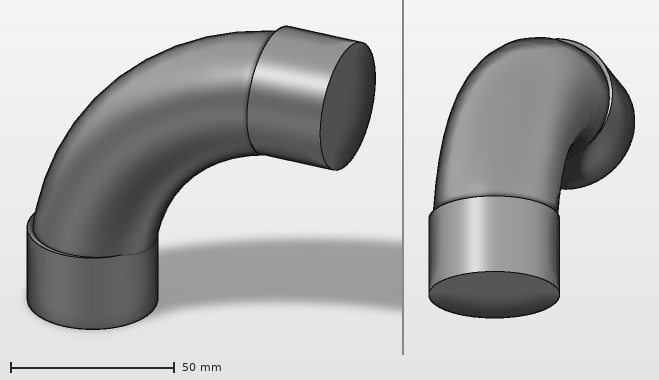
import cadquery as cq

overall_size = 106.0
collar_diameter = 40.0
collar_length = 24.7
tube_diameter = 38.0

collar_radius = collar_diameter / 2
bend_offset = collar_length / 2
bend_radius = overall_size - collar_radius - bend_offset
bend_angle = 90

upper_axis_z = overall_size - collar_radius
upper_collar_x = upper_axis_z - collar_length


def make_bend():
    """Quarter-turn tube rising from the lower collar and turning toward +X."""
    return (
        cq.Workplane("XY", origin=(0, 0, bend_offset))
        .circle(tube_diameter / 2)
        .revolve(bend_angle, (bend_radius, 0, 0), (bend_radius, 1, 0))
    )


def make_collar(plane, origin):
    """Straight collar extruded along the normal of the given plane."""
    return cq.Workplane(plane, origin=origin).circle(collar_radius).extrude(collar_length)


lower_collar = make_collar("XY", (0, 0, 0))
upper_collar = make_collar("YZ", (upper_collar_x, 0, upper_axis_z))

result = make_bend().union(lower_collar).union(upper_collar)